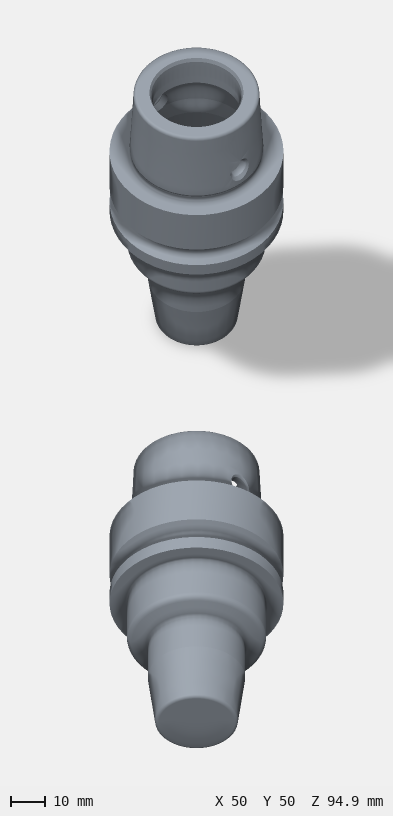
import cadquery as cq
import math


shank_top = 24.9
gauge_height = 6.3
gauge_radius = 19.0
taper_slope = 0.05
shank_rim_fillet = 1.0

relief_top = 2.0
relief_radius = 18.95
relief_neck_top = 1.35
relief_face_radius = 20.15
relief_face_depth = 0.1
relief_fillet = 0.65

flange_radius = 25.0
flange_bottom = -25.2
groove_center = -17.9
groove_floor_radius = 21.6
groove_opening = 6.6
groove_flank_angle = 30.0
groove_fillet = 1.1

body_radius = 20.0
body_root_fillet = 0.5
shoulder_end = -41.4
shoulder_angle = 20.0
shoulder_outer_fillet = 2.0
shoulder_inner_fillet = 1.0
neck_radius = 14.0
nose_start = -53.0
nose_bottom = -70.0
nose_end_radius = 11.8
nose_end_fillet = 1.0

mouth_radius = 13.5
mouth_depth = 1.1
bore_radius = 13.0
bore_depth = 9.9
clamping_shoulder_angle = 30.0
cavity_radius = 16.0
cavity_straight_depth = 19.8
cavity_taper_height = 5.0
cavity_lower_radius = 15.2
cavity_floor = -10.0

seat_mouth_radius = 7.9
seat_radius = 7.4
seat_depth = 6.0
center_hole_radius = 1.1
center_hole_depth = 3.0
drill_tip_half_angle = 59.0

cross_hole_height = 7.6
cross_hole_radius = 3.0
countersink_radius = 3.85
countersink_depth = 0.75


def taper_radius(height):
    return gauge_radius - taper_slope * (height - gauge_height)


def unit_vector(start, end):
    length = math.hypot(end[0] - start[0], end[1] - start[1])
    return (end[0] - start[0]) / length, (end[1] - start[1]) / length


def corner_arc(before, corner, after, radius):
    """Start, middle and end points of the arc that rounds a corner."""
    back = unit_vector(corner, before)
    ahead = unit_vector(corner, after)
    half_angle = math.acos(back[0] * ahead[0] + back[1] * ahead[1]) / 2
    tangent_length = radius / math.tan(half_angle)
    middle_distance = radius / math.sin(half_angle) - radius
    bisector = unit_vector((0, 0), (back[0] + ahead[0], back[1] + ahead[1]))
    return [
        (corner[0] + direction[0] * distance, corner[1] + direction[1] * distance)
        for direction, distance in (
            (back, tangent_length),
            (bisector, middle_distance),
            (ahead, tangent_length),
        )
    ]


def revolve_profile(corners):
    """Turn (radius, height, fillet) corners about Z, starting and ending on the axis."""
    points = [corner[:2] for corner in corners]
    outline = cq.Workplane("XZ").moveTo(*points[0])
    for index in range(1, len(corners)):
        fillet = corners[index][2]
        if fillet == 0:
            outline = outline.lineTo(*points[index])
        else:
            start, middle, end = corner_arc(*points[index - 1:index + 2], fillet)
            outline = outline.lineTo(*start).threePointArc(middle, end)
    return outline.close().revolve(360, (0, 0), (0, 1))


def make_body():
    groove_flank = (flange_radius - groove_floor_radius) * math.tan(math.radians(groove_flank_angle))
    groove_top = groove_center + groove_opening / 2
    groove_bottom = groove_center - groove_opening / 2
    shoulder_rise = (body_radius - neck_radius) * math.tan(math.radians(shoulder_angle))
    return revolve_profile([
        (0, shank_top, 0),
        (taper_radius(shank_top), shank_top, shank_rim_fillet),
        (taper_radius(relief_top), relief_top, 0),
        (relief_radius, relief_neck_top, 0),
        (relief_radius, -relief_face_depth, relief_fillet),
        (relief_face_radius, 0, 0),
        (flange_radius, 0, 0),
        (flange_radius, groove_top, 0),
        (groove_floor_radius, groove_top - groove_flank, groove_fillet),
        (groove_floor_radius, groove_bottom + groove_flank, groove_fillet),
        (flange_radius, groove_bottom, 0),
        (flange_radius, flange_bottom, 0),
        (body_radius, flange_bottom, body_root_fillet),
        (body_radius, shoulder_end + shoulder_rise, shoulder_outer_fillet),
        (neck_radius, shoulder_end, shoulder_inner_fillet),
        (neck_radius, nose_start, 0),
        (nose_end_radius, nose_bottom, nose_end_fillet),
        (0, nose_bottom, 0),
    ])


def make_cavity():
    shoulder_drop = (cavity_radius - bore_radius) * math.tan(math.radians(clamping_shoulder_angle))
    taper_start = shank_top - cavity_straight_depth
    seat_floor = cavity_floor - seat_depth
    center_hole_bottom = seat_floor - center_hole_depth
    drill_tip = center_hole_radius / math.tan(math.radians(drill_tip_half_angle))
    seat_chamfer = seat_mouth_radius - seat_radius
    return revolve_profile([
        (0, shank_top, 0),
        (mouth_radius, shank_top, 0),
        (bore_radius, shank_top - mouth_depth, 0),
        (bore_radius, shank_top - bore_depth, 0),
        (cavity_radius, shank_top - bore_depth - shoulder_drop, 0),
        (cavity_radius, taper_start, 0),
        (cavity_lower_radius, taper_start - cavity_taper_height, 0),
        (cavity_lower_radius, cavity_floor, 0),
        (seat_mouth_radius, cavity_floor, 0),
        (seat_radius, cavity_floor - seat_chamfer, 0),
        (seat_radius, seat_floor, 0),
        (center_hole_radius, seat_floor, 0),
        (center_hole_radius, center_hole_bottom, 0),
        (0, center_hole_bottom - drill_tip, 0),
    ])


def make_cross_hole():
    """Hole along X, flared at both ends where it meets the taper."""
    wall = taper_radius(cross_hole_height)
    flare_slope = (countersink_radius - cross_hole_radius) / countersink_depth
    overrun = 2.0
    end = wall + overrun
    flare_start = wall - countersink_depth
    end_radius = countersink_radius + flare_slope * overrun
    return (
        cq.Workplane("XY")
        .polyline([
            (-end, 0),
            (-end, end_radius),
            (-flare_start, cross_hole_radius),
            (flare_start, cross_hole_radius),
            (end, end_radius),
            (end, 0),
        ])
        .close()
        .revolve(360, (0, 0), (1, 0))
        .translate((0, 0, cross_hole_height))
    )


result = make_body().cut(make_cavity()).cut(make_cross_hole())